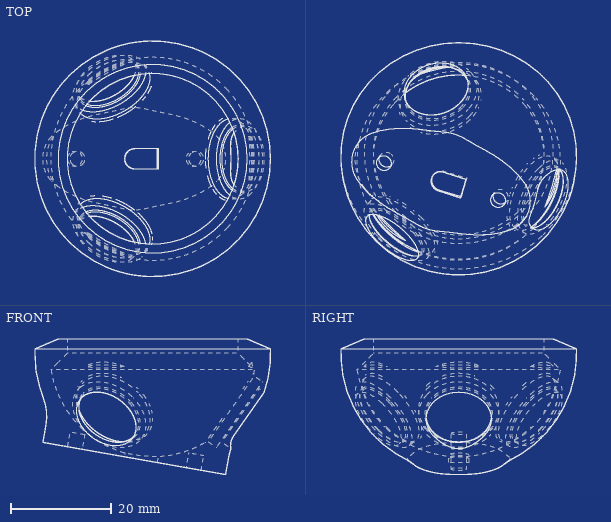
import cadquery as cq
import math


outer_radius = 23.5
wall = 3.0
cavity_radius = outer_radius - wall

far = 2 * outer_radius

rim_height = 3.0
rim_bevel_height = 2.0
rim_inner_radius = 17.0
rim_flat_radius = 18.8
rim_edge_height = rim_height - rim_bevel_height
rim_edge_radius = math.sqrt(outer_radius**2 - rim_edge_height**2)

lip_top = 0.15
lip_half_gap = (rim_inner_radius - lip_top) / 2
lip_excess = (cavity_radius**2 - rim_inner_radius**2 - lip_top**2) / 2
lip_drop = math.sqrt(lip_half_gap**2 + lip_excess) - lip_half_gap
lip_outer_radius = rim_inner_radius + lip_drop

bearing_count = 3
bearing_dip = 35.0
bearing_bore_radius = 6.5
bearing_seat_radius = 8.0
bearing_seat_distance = 21.1
seat_chamfer = 0.25
mouth_chamfer_distance = 19.1
mouth_chamfer = 2.0

base_tilt = 10.0
base_distance = 21.17
boss_offset = 12.0
boss_radius = 6.5
boss_blend_radius = 10.0
screw_hole_radius = 1.5
screw_hole_depth = 3.0

window_radius = 2.0
window_length = 6.65


def tilt(shape):
    """Turn a shape built square to Z into the tilted frame of the base."""
    return shape.rotate((0, 0, 0), (0, 1, 0), base_tilt)


def make_ball_with_boss(side):
    """Solid ball with one blended boss, trimmed at the base plane, in the base frame."""
    ball = cq.Workplane("XY").sphere(outer_radius)
    boss = (
        cq.Workplane("XY")
        .center(side * boss_offset, 0)
        .circle(boss_radius)
        .extrude(-far)
    )
    body = ball.union(boss).edges("%BSPLINE").fillet(boss_blend_radius)
    below_base = (
        cq.Workplane("XY")
        .workplane(offset=-base_distance)
        .rect(2 * far, 2 * far)
        .extrude(-far)
    )
    return body.cut(below_base)


def make_rim_envelope():
    """Revolved limit that gives the flat top and the bevel of the rim."""
    return (
        cq.Workplane("XZ")
        .moveTo(0, rim_height)
        .lineTo(rim_flat_radius, rim_height)
        .lineTo(rim_edge_radius, rim_edge_height)
        .lineTo(far, rim_edge_height)
        .lineTo(far, -far)
        .lineTo(0, -far)
        .close()
        .revolve(360, (0, 0, 0), (0, 1, 0))
    )


def make_cavity():
    """Ball cavity, conical underside of the lip and straight bore of the rim."""
    return (
        cq.Workplane("XZ")
        .moveTo(0, rim_height)
        .lineTo(rim_inner_radius, rim_height)
        .lineTo(rim_inner_radius, lip_top)
        .lineTo(lip_outer_radius, lip_top - lip_drop)
        .radiusArc((0, -cavity_radius), cavity_radius)
        .close()
        .revolve(360, (0, 0, 0), (0, 1, 0))
    )


def make_bearing_hole(azimuth):
    """Stepped hole with a 45 degree mouth and a broken seat edge."""
    mouth_start = mouth_chamfer_distance - mouth_chamfer
    mouth_radius = bearing_seat_radius + mouth_chamfer
    return (
        cq.Workplane("XZ")
        .moveTo(0, mouth_start)
        .lineTo(mouth_radius, mouth_start)
        .lineTo(bearing_seat_radius, mouth_chamfer_distance)
        .lineTo(bearing_seat_radius, bearing_seat_distance)
        .lineTo(bearing_bore_radius + seat_chamfer, bearing_seat_distance)
        .lineTo(bearing_bore_radius, bearing_seat_distance + seat_chamfer)
        .lineTo(bearing_bore_radius, far)
        .lineTo(0, far)
        .close()
        .revolve(360, (0, 0, 0), (0, 1, 0))
        .rotate((0, 0, 0), (0, 1, 0), 90 + bearing_dip)
        .rotate((0, 0, 0), (0, 0, 1), azimuth)
    )


def make_screw_holes():
    """Two blind holes centred in the bosses, in the base frame."""
    return (
        cq.Workplane("XY")
        .workplane(offset=-base_distance)
        .pushPoints([(-boss_offset, 0), (boss_offset, 0)])
        .circle(screw_hole_radius)
        .extrude(screw_hole_depth)
    )


def make_window():
    """Slot with one round end and one square end, in the base frame."""
    square_end = window_length - window_radius
    return (
        cq.Workplane("XY")
        .moveTo(0, window_radius)
        .threePointArc((-window_radius, 0), (0, -window_radius))
        .lineTo(square_end, -window_radius)
        .lineTo(square_end, window_radius)
        .close()
        .extrude(-outer_radius)
    )


body = tilt(make_ball_with_boss(-1).union(make_ball_with_boss(1)))
body = body.intersect(make_rim_envelope())
body = body.cut(make_cavity())
for index in range(bearing_count):
    body = body.cut(make_bearing_hole(index * 360 / bearing_count))
body = body.cut(tilt(make_screw_holes()))
result = body.cut(tilt(make_window()))